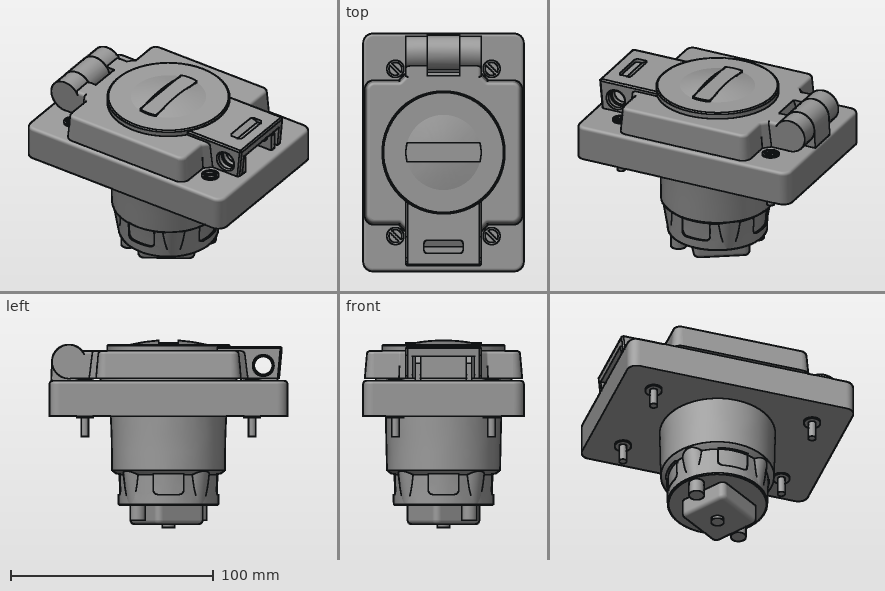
import cadquery as cq
import math


PLATE_X = 79.4
PLATE_Y = 117.5
PLATE_TOP = 17.5
PLATE_CORNER = 4.9
EDGE_ROUND = 1.6

SCREW_X = 23.7
SCREW_Y = 41.2
SCREW_RIM_R = 4.2
SCREW_RIM_RISE = 0.4
SCREW_HEAD_R = 3.2
SCREW_HEAD_RISE = 0.7
SCREW_SLOT_WIDTH = 1.4
SCREW_SLOT_ANGLE = -45.0
WASHER_R = 4.1
WASHER_THICK = 0.8
SHANK_R = 1.9
SHANK_BOTTOM = -10.1

GASKET_R = 33.6
LID_BOTTOM = 18.7
LID_TOP = 32.2
LID_HALF_X = 38.9
LID_HALF_Y = 35.7
LID_CORNER = 4.7
LID_TAPER = 5.0
NECK_HALF_X = 18.6
NECK_BEVEL = 3.4

CAP_R = 30.3
CAP_TOP = 35.4
CAP_CHAMFER = 0.7
DOME_R = 18.6
DOME_RISE = 2.2
BAND_HALF_Y = 4.7
BAND_RISE = 0.8

HINGE_HALF_X = NECK_HALF_X
HINGE_Y = 49.1
HINGE_R = 8.5
KNUCKLE_R = 8.3
BARREL_HALF_X = 8.0
PEDESTAL_BACK_Y = 57.9
BARREL_SLOT_FRONT_Y = 38.0
BARREL_SLOT_DEPTH = 4.1
BARREL_SLOT_LEAN = 1.5

HOOD_HALF_X = NECK_HALF_X
HOOD_TOP = 34.3
HOOD_FRONT_Y = -56.0
HOOD_DRAFT = 1.4
HOOD_CHAMFER = 0.8
HOOD_WALL = 3.3
HOOD_CEILING = 29.6
RIB_INNER_X = 11.3
RIB_OUTER_X = 14.0
RIB_FRONT_Y = -53.8
RIB_SHOULDER_Z = 26.1
LOCK_HOLE_Y = -46.8
LOCK_HOLE_Z = 25.0
LOCK_HOLE_R = 4.5
LOCK_HOLE_CHAMFER = 0.8
GRIP_HALF_X = 9.6
GRIP_BACK_Y = -43.2
GRIP_FRONT_Y = -49.8
GRIP_DEPTH = 1.8
GRIP_CORNER = 1.8

BODY_TOP_R = 28.5
BODY_BOTTOM_R = 28.0
BODY_LIP_R = 27.0
BODY_BOTTOM = -26.5
LIP_BOTTOM = -27.4
COLLAR_TOP = -28.9
COLLAR_TOP_R = 25.0
COLLAR_BOTTOM_R = 24.7
COLLAR_BOTTOM = -43.9
COLLAR_CHAMFER = 0.6

PAD_HALF_WIDTH = 7.6
PAD_TOP = -28.4
PAD_BOTTOM = -38.6
PAD_CORNER = 2.6
PAD_FLOOR_TOP_R = 24.4
PAD_FLOOR_BOTTOM_R = 24.0
WEDGE_R = 7.0
WEDGE_TOP_REACH = 27.5
WEDGE_TIP_Z = -43.2
WEDGE_OVERLAP = 1.8
WEDGE_ANGLE = 40.5

BLOCK_Y = 0.9
BLOCK_ANGLE = -57.0
BLOCK_LENGTH = 27.8
BLOCK_WIDTH = 27.0
BLOCK_CORNER = 2.9
BLOCK_BOTTOM = -53.3
BLOCK_ROUND = 2.2
BOSS_X = 12.7
BOSS_Y = 15.2
BOSS_R = 3.8
BOSS_BOTTOM = -51.3
POST_R = 3.2
POST_BOTTOM = -55.0


def cylinder_z(radius, bottom, top, x=0.0, y=0.0):
    """Upright cylinder between two heights."""
    return cq.Workplane("XY", origin=(x, y, bottom)).circle(radius).extrude(top - bottom)


def cylinder_x(radius, half_length, y, z):
    """Cylinder along X, centred on X = 0."""
    return cq.Workplane("YZ", origin=(0, y, z)).circle(radius).extrude(half_length, both=True)


def block(x0, x1, y0, y1, z0, z1):
    """Rectangular block between two corners."""
    return cq.Workplane("XY").box(x1 - x0, y1 - y0, z1 - z0, centered=False).translate((x0, y0, z0))


def profile_x(points, x0, x1):
    """Side profile of (y, z) points, extruded from x0 to x1."""
    return cq.Workplane("YZ", origin=(x0, 0, 0)).polyline(points).close().extrude(x1 - x0)


def make_plate():
    plate = cq.Workplane("XY").rect(PLATE_X, PLATE_Y).extrude(PLATE_TOP)
    plate = plate.edges("|Z").fillet(PLATE_CORNER)
    return plate.faces(">Z").edges().fillet(EDGE_ROUND)


def make_screw(x, y):
    head_top = PLATE_TOP + SCREW_HEAD_RISE
    rim = cylinder_z(SCREW_RIM_R, 0, PLATE_TOP + SCREW_RIM_RISE, x, y)
    head = cylinder_z(SCREW_HEAD_R, 0, head_top, x, y)
    slot = (
        cq.Workplane("XY", origin=(x, y, head_top))
        .transformed(rotate=(0, 0, SCREW_SLOT_ANGLE))
        .rect(2 * SCREW_HEAD_R, SCREW_SLOT_WIDTH)
        .extrude(-SCREW_HEAD_RISE)
    )
    washer = cylinder_z(WASHER_R, -WASHER_THICK, 0, x, y)
    shank = cylinder_z(SHANK_R, SHANK_BOTTOM, 0, x, y)
    return head.cut(slot).union(rim).union(washer).union(shank)


def make_lid():
    """Drafted lid with bevelled ends and a straight neck that runs back to the hinge."""
    bevel_x = NECK_HALF_X + NECK_BEVEL
    neck_y = LID_HALF_Y + NECK_BEVEL
    flat_x = LID_HALF_X - LID_CORNER
    flat_y = LID_HALF_Y - LID_CORNER
    lid = (
        cq.Workplane("XY", origin=(0, 0, LID_BOTTOM))
        .moveTo(-NECK_HALF_X, -neck_y)
        .lineTo(NECK_HALF_X, -neck_y)
        .lineTo(bevel_x, -LID_HALF_Y)
        .lineTo(flat_x, -LID_HALF_Y)
        .radiusArc((LID_HALF_X, -flat_y), -LID_CORNER)
        .lineTo(LID_HALF_X, flat_y)
        .radiusArc((flat_x, LID_HALF_Y), -LID_CORNER)
        .lineTo(bevel_x, LID_HALF_Y)
        .lineTo(NECK_HALF_X, neck_y)
        .lineTo(-NECK_HALF_X, neck_y)
        .lineTo(-bevel_x, LID_HALF_Y)
        .lineTo(-flat_x, LID_HALF_Y)
        .radiusArc((-LID_HALF_X, flat_y), -LID_CORNER)
        .lineTo(-LID_HALF_X, -flat_y)
        .radiusArc((-flat_x, -LID_HALF_Y), -LID_CORNER)
        .lineTo(-bevel_x, -LID_HALF_Y)
        .close()
        .extrude(LID_TOP - LID_BOTTOM, taper=LID_TAPER)
    )
    neck = block(-NECK_HALF_X, NECK_HALF_X, -neck_y, HINGE_Y, LID_BOTTOM, LID_TOP)
    return lid.union(neck).faces(">Z").edges().fillet(EDGE_ROUND)


def make_cap():
    """Disc with a shallow dome, crossed by a flat name band."""
    disc = cylinder_z(CAP_R, LID_BOTTOM, CAP_TOP).faces(">Z").chamfer(CAP_CHAMFER)
    sphere_r = (DOME_R**2 + DOME_RISE**2) / (2 * DOME_RISE)
    sphere = cq.Workplane("XY").sphere(sphere_r).translate((0, 0, CAP_TOP + DOME_RISE - sphere_r))
    column = cylinder_z(DOME_R, CAP_TOP - CAP_CHAMFER, CAP_TOP + DOME_RISE)
    strip = block(-DOME_R, DOME_R, -BAND_HALF_Y, BAND_HALF_Y, CAP_TOP - CAP_CHAMFER, CAP_TOP + DOME_RISE)
    band = cylinder_z(DOME_R, CAP_TOP - CAP_CHAMFER, CAP_TOP + BAND_RISE).intersect(strip)
    dome = column.intersect(sphere).cut(strip)
    return disc.union(dome).union(band)


def add_hinge(lid):
    """Lid knuckles on both sides of a barrel that stands on the plate."""
    hinge_z = CAP_TOP - HINGE_R
    knuckles = cylinder_x(KNUCKLE_R, HINGE_HALF_X, HINGE_Y, hinge_z)
    slot_floor = LID_TOP - BARREL_SLOT_DEPTH
    slot = profile_x(
        [
            (BARREL_SLOT_FRONT_Y, LID_TOP),
            (BARREL_SLOT_FRONT_Y + BARREL_SLOT_LEAN, slot_floor),
            (HINGE_Y, slot_floor),
            (HINGE_Y, LID_TOP),
        ],
        -BARREL_HALF_X,
        BARREL_HALF_X,
    )
    barrel = cylinder_x(HINGE_R, BARREL_HALF_X, HINGE_Y, hinge_z)
    pedestal = profile_x(
        [
            (BARREL_SLOT_FRONT_Y, PLATE_TOP),
            (PEDESTAL_BACK_Y, PLATE_TOP),
            (HINGE_Y + HINGE_R, hinge_z),
            (HINGE_Y, hinge_z),
            (BARREL_SLOT_FRONT_Y, LID_BOTTOM),
        ],
        -BARREL_HALF_X,
        BARREL_HALF_X,
    )
    return lid.union(knuckles).cut(slot).union(barrel).union(pedestal)


def make_hood():
    """Latch hood: a roof and two drafted side walls, with a rib inside each wall."""
    neck_front_y = -(LID_HALF_Y + NECK_BEVEL)
    hood = profile_x(
        [
            (0, HOOD_TOP),
            (HOOD_FRONT_Y, HOOD_TOP),
            (HOOD_FRONT_Y + HOOD_DRAFT, LID_BOTTOM),
            (neck_front_y, LID_BOTTOM),
            (neck_front_y, LID_TOP - EDGE_ROUND),
            (0, LID_TOP - EDGE_ROUND),
        ],
        -HOOD_HALF_X,
        HOOD_HALF_X,
    )
    hood = hood.faces("<Y").edges("<X or >X").chamfer(HOOD_CHAMFER)
    hood = hood.faces(">Z").edges("not >Y").chamfer(HOOD_CHAMFER)
    inside_x = HOOD_HALF_X - HOOD_WALL
    hood = hood.cut(block(-inside_x, inside_x, HOOD_FRONT_Y, neck_front_y, LID_BOTTOM, HOOD_CEILING))

    rib_slope = HOOD_CEILING - RIB_SHOULDER_Z
    rib_points = [
        (neck_front_y + NECK_BEVEL, PLATE_TOP),
        (RIB_FRONT_Y, PLATE_TOP),
        (RIB_FRONT_Y, RIB_SHOULDER_Z),
        (RIB_FRONT_Y + rib_slope, HOOD_CEILING),
        (neck_front_y + NECK_BEVEL, HOOD_CEILING),
    ]
    hood = hood.union(profile_x(rib_points, RIB_INNER_X, RIB_OUTER_X))
    hood = hood.union(profile_x(rib_points, -RIB_OUTER_X, -RIB_INNER_X))
    return hood.cut(make_lock_hole()).cut(make_grip())


def make_lock_hole():
    """Padlock hole across the hood, chamfered at both mouths."""
    hole = cylinder_x(LOCK_HOLE_R, HOOD_HALF_X, LOCK_HOLE_Y, LOCK_HOLE_Z)
    for side in (-1, 1):
        mouth = cq.Solid.makeCone(
            LOCK_HOLE_R + LOCK_HOLE_CHAMFER,
            LOCK_HOLE_R,
            LOCK_HOLE_CHAMFER,
            cq.Vector(side * HOOD_HALF_X, LOCK_HOLE_Y, LOCK_HOLE_Z),
            cq.Vector(-side, 0, 0),
        )
        hole = hole.union(cq.Workplane(obj=mouth))
    return hole


def make_grip():
    """Finger recess in the hood roof: a ramp down to a flat floor."""
    floor_z = HOOD_TOP - GRIP_DEPTH
    middle_y = (GRIP_BACK_Y + GRIP_FRONT_Y) / 2
    ramp = profile_x(
        [
            (GRIP_BACK_Y, HOOD_TOP),
            (middle_y, floor_z),
            (GRIP_FRONT_Y, floor_z),
            (GRIP_FRONT_Y, HOOD_TOP),
        ],
        -GRIP_HALF_X,
        GRIP_HALF_X,
    )
    rounded = block(-GRIP_HALF_X, GRIP_HALF_X, GRIP_FRONT_Y, GRIP_BACK_Y, floor_z, HOOD_TOP)
    return ramp.intersect(rounded.edges("|Z").fillet(GRIP_CORNER))


def make_body():
    """Turned socket body: slightly tapered barrel, sloped lip and collar."""
    return (
        cq.Workplane("XZ")
        .polyline(
            [
                (0, 0),
                (BODY_TOP_R, 0),
                (BODY_BOTTOM_R, BODY_BOTTOM),
                (BODY_LIP_R, LIP_BOTTOM),
                (COLLAR_TOP_R, COLLAR_TOP),
                (COLLAR_BOTTOM_R, COLLAR_BOTTOM + COLLAR_CHAMFER),
                (COLLAR_BOTTOM_R - COLLAR_CHAMFER, COLLAR_BOTTOM),
                (0, COLLAR_BOTTOM),
            ]
        )
        .close()
        .revolve(360, (0, 0, 0), (0, 1, 0))
    )


def make_pad_cut():
    """Shallow recess with two rounded lower corners in the collar, on the +X side."""
    window = block(0, BODY_TOP_R, -PAD_HALF_WIDTH, PAD_HALF_WIDTH, PAD_BOTTOM, PAD_TOP)
    window = window.faces("<Z").edges("|X").fillet(PAD_CORNER)
    core = cq.Solid.makeCone(
        PAD_FLOOR_BOTTOM_R, PAD_FLOOR_TOP_R, PAD_TOP - PAD_BOTTOM, cq.Vector(0, 0, PAD_BOTTOM)
    )
    return window.cut(cq.Workplane(obj=core))


def make_wedge():
    """Leaning round rib on the +X side that fades into the collar at its lower tip."""
    run = WEDGE_TOP_REACH - COLLAR_BOTTOM_R
    rise = BODY_BOTTOM - WEDGE_TIP_Z
    lean = math.degrees(math.atan2(run, rise))
    length = math.hypot(run, rise) + WEDGE_OVERLAP
    return (
        cq.Workplane("XY")
        .circle(WEDGE_R)
        .extrude(length)
        .translate((-WEDGE_R, 0, 0))
        .rotate((0, 0, 0), (0, 1, 0), lean)
        .translate((COLLAR_BOTTOM_R, 0, WEDGE_TIP_Z))
    )


def make_terminal_block():
    """Rounded block turned about Z, with two round bosses and a centre post."""
    terminal = (
        cq.Workplane("XY", origin=(0, 0, BLOCK_BOTTOM))
        .rect(BLOCK_LENGTH, BLOCK_WIDTH)
        .extrude(COLLAR_BOTTOM - BLOCK_BOTTOM)
        .edges("|Z")
        .fillet(BLOCK_CORNER)
        .faces("<Z")
        .edges()
        .fillet(BLOCK_ROUND)
        .rotate((0, 0, 0), (0, 0, 1), BLOCK_ANGLE)
        .translate((0, BLOCK_Y, 0))
    )
    for side in (-1, 1):
        terminal = terminal.union(
            cylinder_z(BOSS_R, BOSS_BOTTOM, COLLAR_BOTTOM, side * BOSS_X, -side * BOSS_Y)
        )
    return terminal.union(cylinder_z(POST_R, POST_BOTTOM, BLOCK_BOTTOM))


socket = make_body()
for quarter in range(4):
    turn = 90 * quarter
    socket = socket.cut(make_pad_cut().rotate((0, 0, 0), (0, 0, 1), turn))
    socket = socket.union(make_wedge().rotate((0, 0, 0), (0, 0, 1), turn + WEDGE_ANGLE))
socket = socket.union(make_terminal_block())

plate = make_plate().union(socket)
for screw_x in (-SCREW_X, SCREW_X):
    for screw_y in (-SCREW_Y, SCREW_Y):
        plate = plate.union(make_screw(screw_x, screw_y))

gasket = cylinder_z(GASKET_R, PLATE_TOP, LID_BOTTOM)
lid = add_hinge(make_lid()).union(make_hood()).union(make_cap()).union(gasket)

result = plate.union(lid)